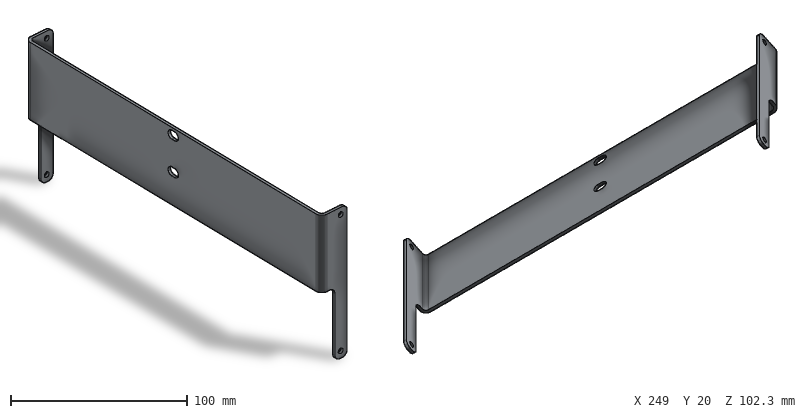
import cadquery as cq

length = 249.0
depth = 20.0
height = 102.3

thickness = 2.0
bend_radius = 4.5

plate_height = 52.5
arm_width = 9.5
corner_radius = 4.0

arm_hole_diameter = 3.5
arm_hole_inset = 5.0
slot_length = 8.5
slot_width = 6.0
slot_drop = 5.0
slot_spacing = 25.0

plate_bottom = height - plate_height


def bent_sheet():
    """U-shaped channel of full height, open towards +Y."""
    outer = (
        cq.Workplane("XY")
        .rect(length, 2 * depth)
        .extrude(height)
        .edges("|Z")
        .fillet(bend_radius)
    )
    inner = (
        cq.Workplane("XY")
        .rect(length - 2 * thickness, 2 * (depth - thickness))
        .extrude(height)
        .edges("|Z")
        .fillet(bend_radius - thickness)
    )
    front_half = cq.Workplane("XY").box(length, depth, height, centered=(True, False, False))
    ring = outer.cut(inner).translate((0, depth, 0))
    return ring.intersect(front_half)


def side_profile():
    """Side outline along the whole length: plate depth above, narrow arm below."""
    arm_front = depth - arm_width
    outline = (
        cq.Workplane("YZ")
        .moveTo(0, plate_bottom)
        .lineTo(arm_front - corner_radius, plate_bottom)
        .radiusArc((arm_front, plate_bottom - corner_radius), corner_radius)
        .lineTo(arm_front, corner_radius)
        .radiusArc((arm_front + corner_radius, 0), -corner_radius)
        .lineTo(depth - corner_radius, 0)
        .radiusArc((depth, corner_radius), -corner_radius)
        .lineTo(depth, height - corner_radius)
        .radiusArc((depth - corner_radius, height), -corner_radius)
        .lineTo(0, height)
        .close()
    )
    return outline.extrude(length / 2, both=True)


def arm_holes():
    """Holes near the top and bottom ends of both arms."""
    hole_y = depth - arm_hole_inset
    return (
        cq.Workplane("YZ")
        .pushPoints([(hole_y, arm_hole_inset), (hole_y, height - arm_hole_inset)])
        .circle(arm_hole_diameter / 2)
        .extrude(length / 2, both=True)
    )


def plate_slots():
    """Two horizontal slots on the centre line of the front plate."""
    first_z = height - slot_drop
    return (
        cq.Workplane("XZ")
        .pushPoints([(0, first_z), (0, first_z - slot_spacing)])
        .slot2D(slot_length, slot_width)
        .extrude(2 * thickness, both=True)
    )


result = bent_sheet().intersect(side_profile()).cut(arm_holes()).cut(plate_slots())